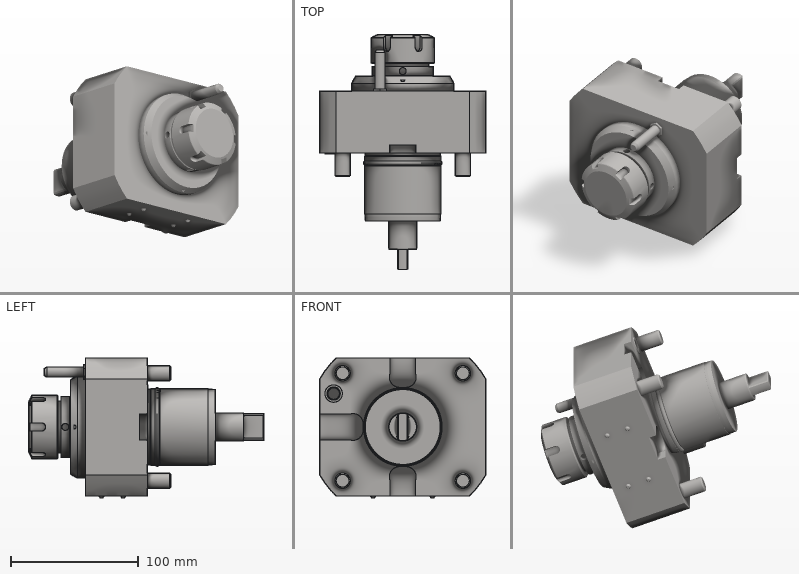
import cadquery as cq
import math


plate_width = 130.0
plate_height = 108.0
plate_thickness = 48.4
corner_radius = 75.0

slot_depth = 6.2
slot_end = 31.0
slot_corner_radius = 8.0
slot_end_width = 21.0
slot_width = 20.0

bolt_x = 47.0
bolt_z = 42.0
bolt_radius = 6.0
bolt_length = 18.3
bolt_chamfer = 1.0
insert_x = -54.0
insert_z = 26.1
insert_radius = 6.8
insert_height = 0.5
insert_hole_radius = 4.5
insert_hole_depth = 20.0
insert_chamfer = 0.7
plug_x = 23.2
plug_ys = (19.0, 35.9)
plug_base_radius = 2.0
plug_tip_radius = 1.0
plug_height = 1.6

pin_x = -17.8
pin_z = 42.9
pin_radius = 4.0
pin_length = 32.4
pin_chamfer = 1.3
pin_chamfer_length = 2.2
hex_across_flats = 10.2
hex_height = 1.6

shank_radius = 30.0
shank_length = 53.1
undercut_radius = 29.6
undercut_root_radius = 29.3
undercut_root_length = 1.0
undercut_length = 1.9
undercut_end = 2.8
end_step_start = 47.5
end_chamfer_start = 49.7
end_step_radius = 29.6
end_radius = 29.3
ring_groove_start = 6.05
ring_groove_end = 9.9
ring_groove_radius = 27.6
ring_section_radius = 1.6
ring_outer_radius = 30.75

flange_radius = 40.0
flange_rim_length = 6.2
flange_length = 11.8
flange_top_radius = 36.9
dimple_count = 4
dimple_radius = 1.6
dimple_offset = 9.05
dimple_floor = 38.5

shaft_radius = 11.0
shaft_end = 75.2
shaft_chamfer = 0.3
shaft_chamfer_length = 1.0
tang_end = 91.0
tang_half_width = 4.1
tang_radius = 10.6
tang_flat_half_height = 8.8
tang_chamfer = 0.6
tang_root_fillet = 0.6
selection_margin = 0.1
collar_gap = 0.5
collar_relief_radius = 23.4
collar_radius = 24.0
collar_end = 19.2
neck_radius = 20.5
neck_end = 21.6
nut_radius = 25.0
nut_bottom_chamfer = 0.8
nut_rim_start = 42.0
nut_face_radius = 19.6
nut_face_y = 92.8
nut_length = nut_face_y - plate_thickness
nut_rim_chamfer = 0.4
spanner_hole_radius = 2.7
spanner_hole_depth = 4.0
spanner_hole_count = 4
nut_slot_count = 6
nut_slot_width = 6.2
nut_slot_bottom = 31.2
nut_slot_floor = 21.4


def cylinder(radius, length, x, y, z):
    """Cylinder along +Y that starts at the given point."""
    return cq.Workplane(cq.Solid.makeCylinder(radius, length, cq.Vector(x, y, z), cq.Vector(0, 1, 0)))


def cone(start_radius, end_radius, length, start, direction):
    return cq.Workplane(cq.Solid.makeCone(start_radius, end_radius, length, start, direction))


def turned(outline):
    """Solid of revolution about the Y axis from (radius, y) points, closed along the axis."""
    on_axis = [(0, outline[0][1])] + outline + [(0, outline[-1][1])]
    return cq.Workplane("XY").polyline(on_axis).close().revolve(360, (0, 0), (0, 1))


def radial_hole(radius, floor, y, angle):
    """Cutter on a radial axis, from its floor outwards."""
    direction = cq.Vector(math.cos(math.radians(angle)), 0, math.sin(math.radians(angle)))
    start = direction * floor + cq.Vector(0, y, 0)
    return cq.Workplane(cq.Solid.makeCylinder(radius, flange_radius, start, direction))


def plate():
    block = cq.Workplane("XY").box(plate_width, plate_thickness, plate_height)
    block = block.translate((0, plate_thickness / 2, 0))
    return block.intersect(cylinder(corner_radius, plate_thickness, 0, 0, 0))


def key_slot(outer_end, angle):
    """Open slot running outwards along +X, turned about Y by the given angle."""
    corner_x = slot_end + slot_corner_radius
    corner_z = slot_end_width / 2 - slot_corner_radius
    channel_length = outer_end - corner_x
    slot = cq.Workplane("XY").box(channel_length, slot_depth, slot_width)
    slot = slot.translate((outer_end - channel_length / 2, slot_depth / 2, 0))
    middle = cq.Workplane("XY").box(2 * slot_corner_radius, slot_depth, 2 * corner_z)
    slot = slot.union(middle.translate((corner_x, slot_depth / 2, 0)))
    for z in (-corner_z, corner_z):
        slot = slot.union(cylinder(slot_corner_radius, slot_depth, corner_x, 0, z))
    return slot.rotate((0, 0, 0), (0, 1, 0), angle)


def bolt(x, z):
    stud = cylinder(bolt_radius, bolt_length, x, -bolt_length, z)
    return stud.faces("<Y").chamfer(bolt_chamfer)


def bottom_plug(x, y):
    base = cq.Vector(x, y, -plate_height / 2)
    return cone(plug_base_radius, plug_tip_radius, plug_height, base, cq.Vector(0, 0, -1))


def locating_pin():
    pin = cylinder(pin_radius, pin_length, pin_x, plate_thickness, pin_z)
    pin = pin.faces(">Y").chamfer(pin_chamfer_length, pin_chamfer)
    corner_diameter = hex_across_flats / math.cos(math.pi / 6)
    collar = cq.Workplane("XZ").polygon(6, corner_diameter).extrude(-hex_height)
    collar = collar.rotate((0, 0, 0), (0, 1, 0), 30)
    return pin.union(collar.translate((pin_x, plate_thickness, pin_z)))


def mounting_cylinder():
    outline = [
        (undercut_root_radius, 0),
        (undercut_radius, -undercut_root_length),
        (undercut_radius, -undercut_length),
        (shank_radius, -undercut_end),
        (shank_radius, -ring_groove_start),
        (ring_groove_radius, -ring_groove_start),
        (ring_groove_radius, -ring_groove_end),
        (shank_radius, -ring_groove_end),
        (shank_radius, -end_step_start),
        (end_step_radius, -end_step_start),
        (end_step_radius, -end_chamfer_start),
        (end_radius, -shank_length),
    ]
    ring_centre = cq.Vector(0, -ring_groove_start - ring_section_radius, 0)
    ring = cq.Solid.makeTorus(
        ring_outer_radius - ring_section_radius, ring_section_radius, ring_centre, cq.Vector(0, 1, 0)
    )
    return turned(outline).union(cq.Workplane(ring))


def rear_flange():
    outline = [
        (flange_radius, plate_thickness),
        (flange_radius, plate_thickness + flange_rim_length),
        (flange_top_radius, plate_thickness + flange_length),
    ]
    flange = turned(outline)
    dimple_y = plate_thickness + dimple_offset
    for i in range(dimple_count):
        angle = i * 360 / dimple_count
        flange = flange.cut(radial_hole(dimple_radius, dimple_floor, dimple_y, angle))
    return flange


def make_housing():
    body = plate().union(mounting_cylinder()).union(rear_flange()).union(locating_pin())
    body = body.cut(key_slot(plate_width / 2, 180))
    for angle in (90, 270):
        body = body.cut(key_slot(plate_height / 2, angle))
    for x in (-bolt_x, bolt_x):
        for z in (-bolt_z, bolt_z):
            body = body.union(bolt(x, z))
    for x in (-plug_x, plug_x):
        for y in plug_ys:
            body = body.union(bottom_plug(x, y))
    body = body.union(cylinder(insert_radius, insert_height, insert_x, -insert_height, insert_z))
    body = body.cut(cylinder(insert_hole_radius, insert_hole_depth, insert_x, -insert_height, insert_z))
    mouth = cq.Vector(insert_x, -insert_height, insert_z)
    mouth_radius = insert_hole_radius + insert_chamfer
    body = body.cut(cone(mouth_radius, insert_hole_radius, insert_chamfer, mouth, cq.Vector(0, 1, 0)))
    bore_length = shank_length + plate_thickness + flange_length
    return body.cut(cylinder(shaft_radius, bore_length, 0, -shank_length, 0))


def drive_tang():
    """Flat tongue with rounded ends; the edges of its two flats are chamfered."""
    inner_x = tang_half_width - tang_chamfer
    inner_z = math.sqrt(tang_radius**2 - inner_x**2)
    section = (
        cq.Workplane("XZ", origin=(0, -shaft_end, 0))
        .moveTo(tang_half_width, -tang_flat_half_height)
        .lineTo(tang_half_width, tang_flat_half_height)
        .lineTo(inner_x, inner_z)
        .threePointArc((0, tang_radius), (-inner_x, inner_z))
        .lineTo(-tang_half_width, tang_flat_half_height)
        .lineTo(-tang_half_width, -tang_flat_half_height)
        .lineTo(-inner_x, -inner_z)
        .threePointArc((0, -tang_radius), (inner_x, -inner_z))
        .close()
    )
    tang = section.extrude(tang_end - shaft_end)
    return tang.faces("<Y").edges("|Z").chamfer(tang_chamfer)


def nut_slot(angle):
    """Round-bottomed wrench slot, open towards the nut face."""
    slot_radius = nut_slot_width / 2
    round_y = plate_thickness + nut_slot_bottom + slot_radius
    open_length = plate_thickness + nut_length - round_y
    channel = cq.Workplane("XY").box(nut_radius, open_length, nut_slot_width)
    channel = channel.translate((nut_slot_floor + nut_radius / 2, round_y + open_length / 2, 0))
    cutter = channel.union(radial_hole(slot_radius, nut_slot_floor, round_y, 0))
    return cutter.rotate((0, 0, 0), (0, 1, 0), angle)


def make_spindle():
    rear = plate_thickness
    outline = [
        (shaft_radius - shaft_chamfer, -shaft_end),
        (shaft_radius, shaft_chamfer_length - shaft_end),
        (shaft_radius, rear + flange_length),
        (collar_relief_radius, rear + flange_length),
        (collar_relief_radius, rear + flange_length + collar_gap),
        (collar_radius, rear + flange_length + collar_gap),
        (collar_radius, rear + collar_end),
        (neck_radius, rear + collar_end),
        (neck_radius, rear + neck_end),
        (nut_radius - nut_bottom_chamfer, rear + neck_end),
        (nut_radius, rear + neck_end + nut_bottom_chamfer),
        (nut_radius, rear + nut_rim_start - nut_rim_chamfer),
        (nut_radius - nut_rim_chamfer, rear + nut_rim_start),
        (nut_face_radius, rear + nut_length),
    ]
    spindle = turned(outline).union(drive_tang())
    root_x = tang_half_width + selection_margin
    root_z = tang_flat_half_height + selection_margin
    root = cq.selectors.BoxSelector(
        (-root_x, -shaft_end - selection_margin, -root_z),
        (root_x, -shaft_end + selection_margin, root_z),
    )
    spindle = spindle.edges(root).edges("|Z").fillet(tang_root_fillet)
    hole_floor = collar_radius - spanner_hole_depth
    hole_y = rear + (flange_length + collar_gap + collar_end) / 2
    for i in range(spanner_hole_count):
        angle = i * 360 / spanner_hole_count
        spindle = spindle.cut(radial_hole(spanner_hole_radius, hole_floor, hole_y, angle))
    for i in range(nut_slot_count):
        spindle = spindle.cut(nut_slot(i * 360 / nut_slot_count))
    return spindle


housing = make_housing()
spindle = make_spindle()
result = cq.Compound.makeCompound([housing.val(), spindle.val()])